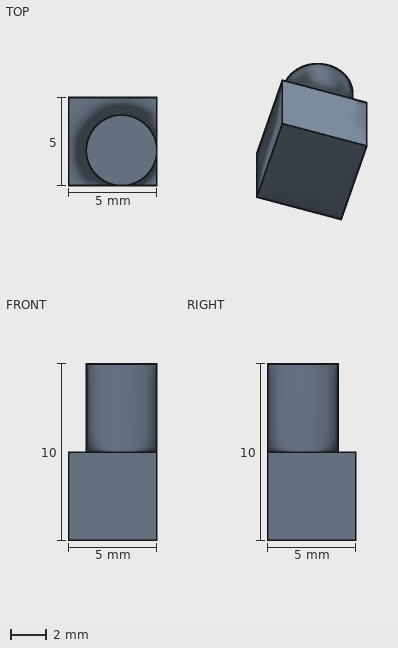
import cadquery as cq

block_side = 5.0
pin_diameter = 4.0
pin_height = 5.0

pin_radius = pin_diameter / 2
pin_offset = block_side / 2 - pin_radius


def make_block():
    """Cube centred on the Z axis, standing on the XY plane."""
    return cq.Workplane("XY").box(block_side, block_side, block_side, centered=(True, True, False))


def make_pin():
    """Round pin standing on the top face of the block."""
    return (
        cq.Workplane("XY", origin=(pin_offset, -pin_offset, block_side))
        .circle(pin_radius)
        .extrude(pin_height)
    )


block = make_block()
pin = make_pin()

result = cq.Compound.makeCompound([block.val(), pin.val()])